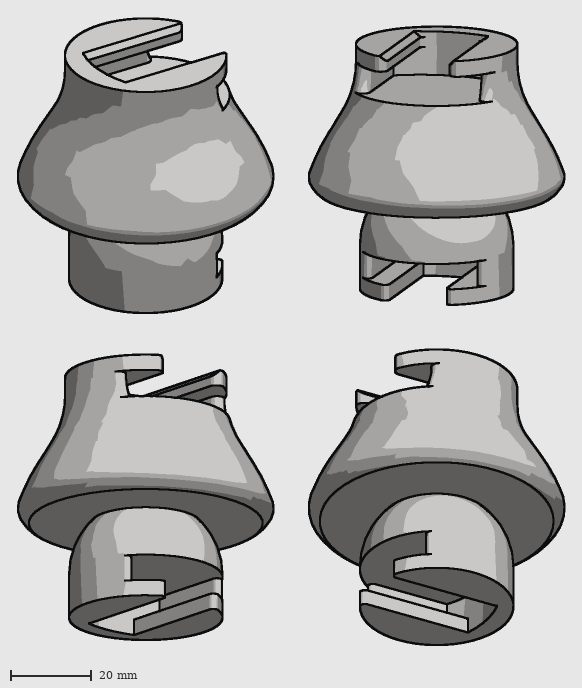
import cadquery as cq
import math

total_height = 61.85
lip_height = 4.0

base_diameter = 38.0
base_radius = base_diameter / 2
base_height = 11.05
base_slot_top = 10.5
base_neck_half_width = 7.4
base_head_half_width = 13.5
base_edge_radius = 1.25

collar_radius = 19.95
collar_bottom = 57.25
neck_radius = 23.8
neck_z = 43.85
shoulder_radius = 27.2
shoulder_z = 38.1
rim_radius = 31.6
rim_z = 28.2
rim_top_radius = 31.45
rim_top_z = 29.05
bevel_top_radius = 30.95
bevel_top_z = 26.4
bevel_bottom_radius = 30.25
bevel_bottom_z = 25.5
under_radius = 29.6
under_z = 24.9
shade_bottom_radius = 28.9
shade_bottom_z = 24.4

shade_slot_bottom = 50.85
shade_neck_half_width = 8.0
shade_head_half_width = 14.15
shade_edge_radius = 1.9
slot_corner_radius = 1.25
lip_bevel = 1.5

slot_end_y = -13.95
slot_end_radius = 27.7
slot_mouth_y = 37.9


def slot_prism(half_width, bottom, top):
    """Slot running out toward +Y, closed at -Y by the shallow arc."""
    corner_y = slot_end_y + slot_end_radius - math.sqrt(slot_end_radius**2 - half_width**2)
    return (
        cq.Workplane("XY").workplane(offset=bottom)
        .moveTo(-half_width, slot_mouth_y)
        .lineTo(-half_width, corner_y)
        .threePointArc((0, slot_end_y), (half_width, corner_y))
        .lineTo(half_width, slot_mouth_y)
        .close()
        .extrude(top - bottom)
    )


def round_mouth_edges(body, half_width, bottom, top, outer_radius, radius):
    """Round the two edges where the slot walls meet the outer surface."""
    mouth_y = math.sqrt(outer_radius**2 - half_width**2)
    middle_z = (bottom + top) / 2
    for side in (-1, 1):
        mouth_point = (side * half_width, mouth_y, middle_z)
        body = body.edges(cq.selectors.NearestToPointSelector(mouth_point)).fillet(radius)
    return body


def make_dome():
    """Upper half of a ball, also the shape of its socket in the shade."""
    return cq.Workplane("XY").sphere(base_radius, angle1=0).translate((0, 0, base_height))


def make_base():
    cylinder = cq.Workplane("XY").circle(base_radius).extrude(base_height)
    body = cylinder.union(make_dome())
    body = body.cut(slot_prism(base_head_half_width, lip_height, base_slot_top))
    body = body.cut(slot_prism(base_neck_half_width, 0, lip_height))
    body = round_mouth_edges(
        body, base_head_half_width, lip_height, base_slot_top, base_radius, base_edge_radius,
    )
    return round_mouth_edges(
        body, base_neck_half_width, 0, lip_height, base_radius, base_edge_radius,
    )


def make_shade_blank():
    return (
        cq.Workplane("XZ")
        .moveTo(0, total_height)
        .lineTo(collar_radius, total_height)
        .lineTo(collar_radius, collar_bottom)
        .tangentArcPoint((neck_radius, neck_z), relative=False)
        .lineTo(shoulder_radius, shoulder_z)
        .tangentArcPoint((rim_top_radius, rim_top_z), relative=False)
        .threePointArc((rim_radius, rim_z), (bevel_top_radius, bevel_top_z))
        .lineTo(bevel_bottom_radius, bevel_bottom_z)
        .threePointArc((under_radius, under_z), (shade_bottom_radius, shade_bottom_z))
        .lineTo(0, shade_bottom_z)
        .close()
        .revolve(360, (0, 0, 0), (0, 1, 0))
    )


def lip_bevel_cutter():
    """45 degree V over the slot opening, stopped at the slot's end arc."""
    top_half_width = shade_neck_half_width + lip_bevel
    bevel_bottom = total_height - lip_bevel
    wedge = (
        cq.Workplane("XZ").workplane(offset=-slot_mouth_y)
        .moveTo(-shade_neck_half_width, bevel_bottom)
        .lineTo(-top_half_width, total_height)
        .lineTo(top_half_width, total_height)
        .lineTo(shade_neck_half_width, bevel_bottom)
        .close()
        .extrude(2 * slot_mouth_y)
    )
    return wedge.intersect(slot_prism(top_half_width, bevel_bottom, total_height))


def make_shade():
    lip_bottom = total_height - lip_height
    body = make_shade_blank().cut(make_dome())
    body = body.cut(slot_prism(shade_head_half_width, shade_slot_bottom, lip_bottom))
    neck = slot_prism(shade_neck_half_width, lip_bottom, total_height)
    neck = neck.edges("|Z").edges("<Y").fillet(slot_corner_radius)
    body = body.cut(neck)
    body = round_mouth_edges(
        body, shade_head_half_width, shade_slot_bottom, lip_bottom, collar_radius, shade_edge_radius,
    )
    body = round_mouth_edges(
        body, shade_neck_half_width, lip_bottom, total_height, collar_radius, shade_edge_radius,
    )
    return body.cut(lip_bevel_cutter())


base = make_base()
shade = make_shade()
result = cq.Compound.makeCompound([base.val(), shade.val()])